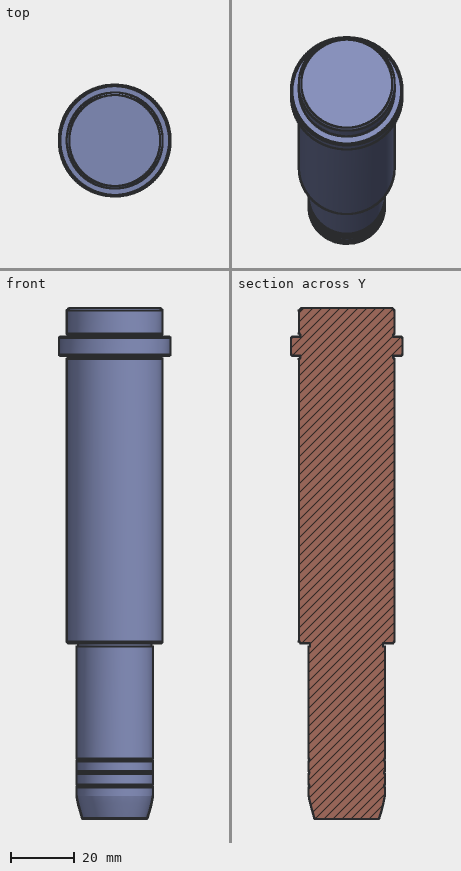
import cadquery as cq

total_height = 160.0
collar_diameter = 35.0
collar_radius = collar_diameter / 2
body_radius = 15.0
pin_radius = 12.0

head_height = 9.0
collar_height = 6.0
body_length = 90.0
collar_top = total_height - head_height
collar_bottom = collar_top - collar_height
body_bottom = collar_bottom - body_length

edge_chamfer = 0.5
head_chamfer = 0.8
relief_width = 1.0
relief_depth = 0.5
neck_gap = relief_width - edge_chamfer

groove_levels = (10.4, 14.5, 18.5)
groove_width = 1.0
groove_depth = 0.24

nose_height = 7.2
nose_end_radius = 10.2
nose_bulge = 0.2
tip_chamfer = 0.3


def cylinder(radius, bottom, top):
    return cq.Workplane("XY").workplane(offset=bottom).circle(radius).extrude(top - bottom)


def ring_cut(outer_radius, depth, bottom, width):
    """Ring that removes a rectangular groove from a cylinder."""
    return cylinder(outer_radius, bottom, bottom + width).cut(
        cylinder(outer_radius - depth, bottom, bottom + width)
    )


def vee_ring(level):
    """Ring of triangular section that cuts one lubrication groove."""
    return (
        cq.Workplane("XZ")
        .moveTo(pin_radius, level - groove_width / 2)
        .lineTo(pin_radius - groove_depth, level)
        .lineTo(pin_radius, level + groove_width / 2)
        .close()
        .revolve(360, (0, 0, 0), (0, 1, 0))
    )


def make_pin():
    """Guide pin with a slightly convex tapered nose."""
    middle_radius = (pin_radius + nose_end_radius) / 2 + nose_bulge
    return (
        cq.Workplane("XZ")
        .moveTo(0, 0)
        .lineTo(nose_end_radius - tip_chamfer, 0)
        .lineTo(nose_end_radius, tip_chamfer)
        .threePointArc((middle_radius, (nose_height + tip_chamfer) / 2), (pin_radius, nose_height))
        .lineTo(pin_radius, body_bottom)
        .lineTo(0, body_bottom)
        .close()
        .revolve(360, (0, 0, 0), (0, 1, 0))
    )


pin = make_pin().cut(ring_cut(pin_radius, relief_depth, body_bottom - relief_width, relief_width))
for level in groove_levels:
    pin = pin.cut(vee_ring(level))

body = cylinder(body_radius, body_bottom, collar_bottom - neck_gap).edges().chamfer(edge_chamfer)
head = cylinder(body_radius, collar_top + neck_gap, total_height)
head = head.faces("<Z").chamfer(edge_chamfer).faces(">Z").chamfer(head_chamfer)
neck = cylinder(body_radius - relief_depth, collar_bottom - neck_gap, collar_top + neck_gap)

collar = cylinder(collar_radius, collar_bottom, collar_top).edges().chamfer(edge_chamfer)

result = body.union(neck).union(head).union(collar).union(pin)